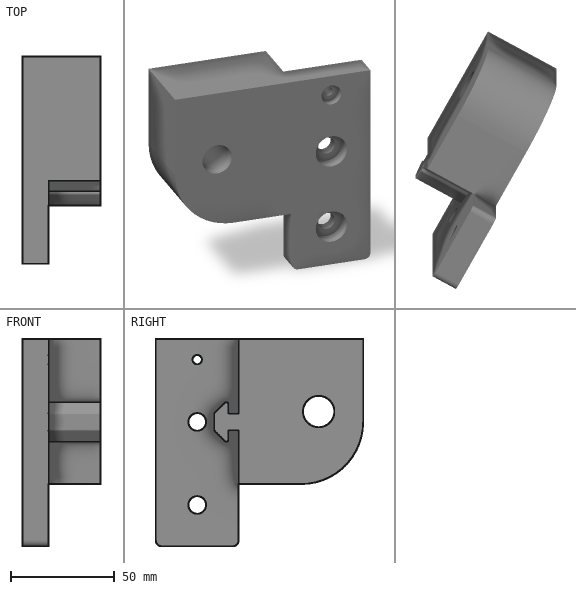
import cadquery as cq


SIDE = 100.0
PLATE_THICKNESS = 12.7
BLOCK_THICKNESS = 25.0
LEG_WIDTH = 40.0
BLOCK_BOTTOM = 30.0
BLOCK_CORNER_RADIUS = 30.0
LEG_CORNER_RADIUS = 3.0
TOTAL_THICKNESS = PLATE_THICKNESS + BLOCK_THICKNESS

RAIL_CENTER_Z = 60.0
RAIL_DEPTH = 11.9
NECK_LENGTH = 5.0
NECK_WIDTH = 8.0
HEAD_WIDTH = 19.0
TIP_WIDTH = 8.1
HEAD_CORNER_RADIUS = 1.0
NECK_ROOT_RADIUS = 0.5

BOLT_COLUMN_Y = 20.0
BOLT_HOLE_DIAMETER = 8.4
BOLT_HEAD_DIAMETER = 16.0
BOLT_HEAD_DEPTH = 7.0
BOLT_CENTERS_Z = (20.0, RAIL_CENTER_Z)
SCREW_HOLE_DIAMETER = 4.4
SCREW_HEAD_DIAMETER = 10.0
SCREW_HEAD_DEPTH = 4.0
SCREW_CENTER_Z = 90.0
PIVOT_DIAMETER = 15.0
PIVOT_CENTER = (78.5, 65.0)


def make_upper_body(start_y, thickness):
    """Slab above the block underside with its rear lower corner rounded."""
    return (
        cq.Workplane("YZ")
        .moveTo(start_y, BLOCK_BOTTOM)
        .lineTo(SIDE - BLOCK_CORNER_RADIUS, BLOCK_BOTTOM)
        .radiusArc((SIDE, BLOCK_BOTTOM + BLOCK_CORNER_RADIUS), -BLOCK_CORNER_RADIUS)
        .lineTo(SIDE, SIDE)
        .lineTo(start_y, SIDE)
        .close()
        .extrude(thickness)
    )


def make_leg():
    """Full-height leg of the plate with rounded lower corners."""
    return (
        cq.Workplane("YZ")
        .rect(LEG_WIDTH, SIDE, centered=False)
        .extrude(PLATE_THICKNESS)
        .edges("|X and <Z")
        .fillet(LEG_CORNER_RADIUS)
    )


def make_rail():
    """T-shaped rail: a narrow neck carrying a wide head with 45 degree flanks."""
    head_back = LEG_WIDTH - NECK_LENGTH
    tip = LEG_WIDTH - RAIL_DEPTH
    flank_start = tip + (HEAD_WIDTH - TIP_WIDTH) / 2
    head = (
        cq.Workplane("YZ", origin=(PLATE_THICKNESS, 0, RAIL_CENTER_Z))
        .moveTo(head_back, -HEAD_WIDTH / 2)
        .lineTo(head_back, HEAD_WIDTH / 2)
        .lineTo(flank_start, HEAD_WIDTH / 2)
        .lineTo(tip, TIP_WIDTH / 2)
        .lineTo(tip, -TIP_WIDTH / 2)
        .lineTo(flank_start, -HEAD_WIDTH / 2)
        .close()
        .extrude(BLOCK_THICKNESS)
        .edges("|X")
        .fillet(HEAD_CORNER_RADIUS)
    )
    return head.union(make_neck(head_back))


def make_neck(head_back):
    """Neck of the rail, flaring with concave fillets into the block and the head."""
    waist = NECK_WIDTH / 2
    flare = waist + NECK_ROOT_RADIUS
    waist_front = head_back + NECK_ROOT_RADIUS
    waist_rear = LEG_WIDTH - NECK_ROOT_RADIUS
    return (
        cq.Workplane("YZ", origin=(PLATE_THICKNESS, 0, RAIL_CENTER_Z))
        .moveTo(head_back, -flare)
        .radiusArc((waist_front, -waist), NECK_ROOT_RADIUS)
        .lineTo(waist_rear, -waist)
        .radiusArc((LEG_WIDTH, -flare), NECK_ROOT_RADIUS)
        .lineTo(LEG_WIDTH, flare)
        .radiusArc((waist_rear, waist), NECK_ROOT_RADIUS)
        .lineTo(waist_front, waist)
        .radiusArc((head_back, flare), NECK_ROOT_RADIUS)
        .close()
        .extrude(BLOCK_THICKNESS)
    )


def bore(center_y, center_z, diameter, depth):
    """Cylinder running from the outer plate face into the part."""
    return (
        cq.Workplane("YZ")
        .center(center_y, center_z)
        .circle(diameter / 2)
        .extrude(depth)
    )


def counterbored_hole(center_z, hole_diameter, head_diameter, head_depth):
    """Hole through the plate, recessed for a screw head at the outer face."""
    hole = bore(BOLT_COLUMN_Y, center_z, hole_diameter, PLATE_THICKNESS)
    recess = bore(BOLT_COLUMN_Y, center_z, head_diameter, head_depth)
    return hole.union(recess)


result = make_leg()
result = result.union(make_upper_body(0, PLATE_THICKNESS))
result = result.union(make_upper_body(LEG_WIDTH, TOTAL_THICKNESS))
result = result.union(make_rail())

for bolt_z in BOLT_CENTERS_Z:
    result = result.cut(
        counterbored_hole(bolt_z, BOLT_HOLE_DIAMETER, BOLT_HEAD_DIAMETER, BOLT_HEAD_DEPTH)
    )
result = result.cut(
    counterbored_hole(SCREW_CENTER_Z, SCREW_HOLE_DIAMETER, SCREW_HEAD_DIAMETER, SCREW_HEAD_DEPTH)
)
result = result.cut(bore(*PIVOT_CENTER, PIVOT_DIAMETER, TOTAL_THICKNESS))